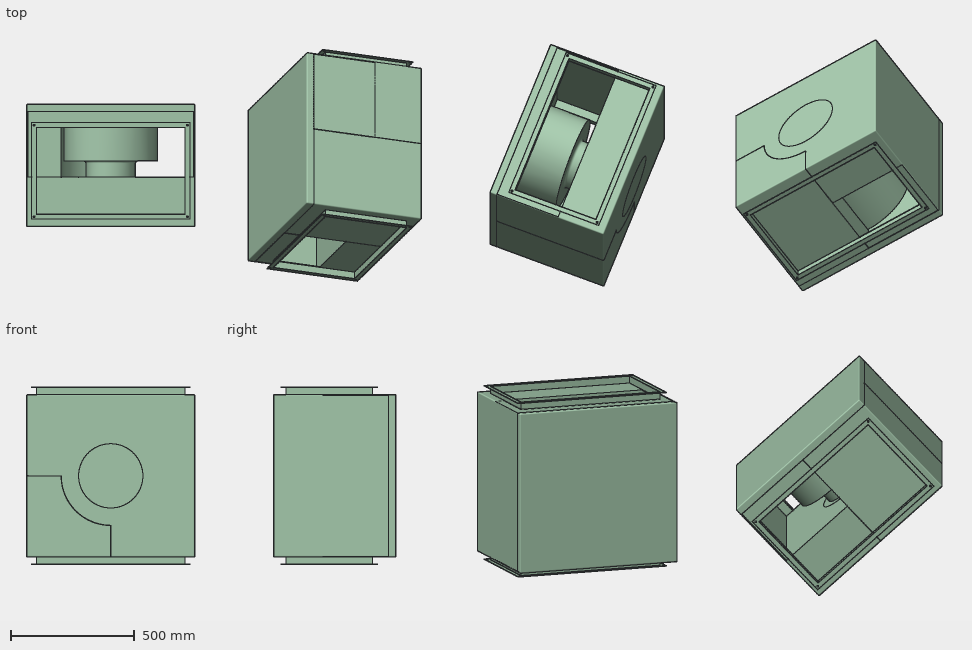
import cadquery as cq

WIDTH = 680
DEPTH = 495
HEIGHT = 657
EDGE_RADIUS = 5

COVER_THICKNESS = 30
WALL = 5
CEILING = 3
FRONT_BLOCK_DEPTH = 200

FRONT_Y = -DEPTH / 2
REAR_Y = DEPTH / 2
COVER_Y = REAR_Y - COVER_THICKNESS
BLOCK_REAR_Y = FRONT_Y + FRONT_BLOCK_DEPTH
TOP_Z = HEIGHT / 2

DUCT_WIDTH = 600
DUCT_DEPTH = 350
DUCT_SHEET = 0.5
DUCT_HEIGHT = 30
DUCT_FRONT_MARGIN = 50
DUCT_Y = FRONT_Y + DUCT_FRONT_MARGIN + DUCT_DEPTH / 2
FLANGE_RIM = 20
FLANGE_THICKNESS = 2
FLANGE_HOLE_DIAMETER = 7

SCOOP_RADIUS = 200
CORNER_GAP = 1

MOTOR_RADIUS = 130
NECK_RADIUS = 100
NECK_FILLET = 10
WHEEL_RADIUS = 190
WHEEL_LENGTH = 200
WHEEL_FRONT_Y = COVER_Y - WHEEL_LENGTH


def box_between(x0, x1, y0, y1, z0, z1):
    """Box given by its limits along each axis."""
    return cq.Workplane("XY").box(x1 - x0, y1 - y0, z1 - z0, centered=False).translate((x0, y0, z0))


def cabinet_slice(y0, y1):
    """Slice of the rounded outer cabinet block between two Y positions."""
    block = cq.Workplane("XY").box(WIDTH, DEPTH, HEIGHT).edges().fillet(EDGE_RADIUS)
    return block.intersect(box_between(-WIDTH, WIDTH, y0, y1, -HEIGHT, HEIGHT))


def corner_quarter(gap):
    """Lower left quarter in front of the cover, scooped around the fan axis, set back by a gap."""
    quarter = box_between(-WIDTH, -gap, FRONT_Y, COVER_Y, -HEIGHT, -gap)
    scoop = cq.Workplane("XZ", origin=(0, COVER_Y, 0)).circle(SCOOP_RADIUS + gap).extrude(DEPTH)
    return quarter.cut(scoop)


def fan_shape():
    """Motor, neck and wheel turned about the Y axis."""
    return (
        cq.Workplane("YZ")
        .moveTo(FRONT_Y, 0)
        .lineTo(FRONT_Y, MOTOR_RADIUS)
        .lineTo(BLOCK_REAR_Y, MOTOR_RADIUS)
        .lineTo(BLOCK_REAR_Y, NECK_RADIUS)
        .lineTo(WHEEL_FRONT_Y - NECK_FILLET, NECK_RADIUS)
        .radiusArc((WHEEL_FRONT_Y, NECK_RADIUS + NECK_FILLET), -NECK_FILLET)
        .lineTo(WHEEL_FRONT_Y, WHEEL_RADIUS)
        .lineTo(COVER_Y, WHEEL_RADIUS)
        .lineTo(COVER_Y, 0)
        .close()
        .revolve(360, (0, 0), (1, 0))
    )


def duct_connection():
    """Sheet duct with a drilled flange, standing on the top face."""
    base = cq.Workplane("XY", origin=(0, DUCT_Y, TOP_Z))
    flange_width = DUCT_WIDTH + 2 * FLANGE_RIM
    flange_depth = DUCT_DEPTH + 2 * FLANGE_RIM
    outer_width = DUCT_WIDTH + 2 * DUCT_SHEET
    outer_depth = DUCT_DEPTH + 2 * DUCT_SHEET
    sleeve = base.rect(outer_width, outer_depth).extrude(DUCT_HEIGHT)
    flange = (
        base.workplane(offset=DUCT_HEIGHT - FLANGE_THICKNESS)
        .rect(flange_width, flange_depth)
        .extrude(FLANGE_THICKNESS)
        .faces(">Z")
        .workplane()
        .rect(DUCT_WIDTH + FLANGE_RIM, DUCT_DEPTH + FLANGE_RIM, forConstruction=True)
        .vertices()
        .hole(FLANGE_HOLE_DIAMETER)
    )
    passage = base.rect(DUCT_WIDTH, DUCT_DEPTH).extrude(DUCT_HEIGHT)
    return sleeve.union(flange).cut(passage)


def make_housing():
    """Cabinet with a solid front block, a hollow rear and two duct connections."""
    half_inner = WIDTH / 2 - WALL
    inner_top = TOP_Z - CEILING
    cavity = box_between(-half_inner, half_inner, BLOCK_REAR_Y, COVER_Y, -inner_top, inner_top)
    half_opening = DUCT_WIDTH / 2
    opening_rear_y = DUCT_Y + DUCT_DEPTH / 2
    opening = box_between(-half_opening, half_opening, BLOCK_REAR_Y, opening_rear_y, -TOP_Z, TOP_Z)
    shell = cabinet_slice(FRONT_Y, COVER_Y).cut(cavity).cut(opening)
    upper_duct = duct_connection()
    lower_duct = upper_duct.mirror("XY")
    return shell.cut(corner_quarter(0)).union(upper_duct).union(lower_duct).cut(fan_shape())


housing = make_housing()
cover = cabinet_slice(COVER_Y, REAR_Y)
corner_block = cabinet_slice(FRONT_Y, COVER_Y).intersect(corner_quarter(CORNER_GAP))
fan = fan_shape()

result = cq.Compound.makeCompound([housing.val(), cover.val(), corner_block.val(), fan.val()])